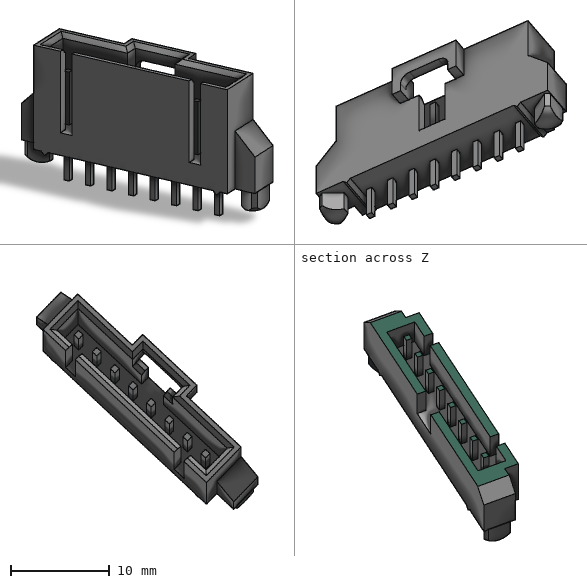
import cadquery as cq
import math


housing_length = 22.9
housing_depth = 5.09
housing_height = 11.45
floor_height = 2.5
rim = 0.5
lead_in = 0.5
lead_in_angle = 45.0
wall = rim + lead_in

key_length = 7.6
key_reach = 1.52
key_bottom = 7.65
back_notch_length = 3.07
window_top = 9.78
window_corner_radius = 1.1

slot_width = 1.35
slot_spacing = 15.23

overall_length = 27.65
ear_depth = 3.57
ear_shoulder = 4.0
ear_length = (overall_length - housing_length) / 2

ridge_drop = 0.41
ridge_spacing = 20.35

pin_count = 8
pin_pitch = 2.55
pin_width = 0.64
pin_drop = 3.68
pin_top = 8.3

peg_inset = 0.05
peg_length = 2.4
peg_drop = 2.65
peg_face_width = 2.4
peg_width = 3.05
peg_flank_inset = 0.5
peg_flank_angle = 31.0
peg_corner_radius = 1.75
peg_dome_radius = 2.2
peg_dome_inset = 1.3


def block(x_size, y_min, y_max, z_min, z_max, x_middle=0.0):
    """Box centred on x_middle and spanning the given Y and Z ranges."""
    size = (x_size, y_max - y_min, z_max - z_min)
    solid = cq.Workplane("XY").box(*size, centered=(True, False, False))
    return solid.translate((x_middle, y_min, z_min))


def opening(x_size, y_min, y_max, z_min):
    """Pocket up to the top of the housing that widens by the lead-in at its mouth."""
    pocket = block(x_size, y_min, y_max, z_min, housing_height)
    flare = (
        cq.Workplane("XY", origin=(0, (y_min + y_max) / 2, housing_height))
        .rect(x_size + 2 * lead_in, y_max - y_min + 2 * lead_in)
        .extrude(-lead_in, taper=lead_in_angle)
    )
    return pocket.union(flare)


def make_housing():
    key_back = housing_depth + key_reach
    inner_back = housing_depth - wall
    body = block(housing_length, 0, housing_depth, 0, housing_height)
    body = body.union(block(key_length, inner_back, key_back, key_bottom, housing_height))
    body = body.cut(opening(housing_length - 2 * wall, wall, inner_back, floor_height))
    key_inner_length = key_length - 2 * wall
    body = body.cut(opening(key_inner_length, inner_back - wall, key_back - wall, key_bottom))

    ledge_lead_in = (
        cq.Workplane("YZ", origin=(-key_inner_length / 2, inner_back, key_bottom))
        .polyline([(0, -lead_in), (lead_in, 0), (0, 0)])
        .close()
        .extrude(key_inner_length)
    )
    notch = block(back_notch_length, inner_back, housing_depth, floor_height, key_bottom)
    body = body.cut(ledge_lead_in).cut(notch)

    window = block(key_inner_length, key_back - wall, key_back, key_bottom, window_top)
    body = body.cut(window.faces(">Z").edges("|Y").fillet(window_corner_radius))

    for side in (-1, 1):
        body = body.cut(block(slot_width, 0, wall, floor_height, housing_height, side * slot_spacing / 2))
    return body


def make_ear():
    """Ear on the +X end, with a 45 degree top."""
    inner_x = housing_length / 2
    outer_x = overall_length / 2
    return (
        cq.Workplane("XZ", origin=(0, housing_depth, 0))
        .moveTo(inner_x, 0)
        .lineTo(outer_x, 0)
        .lineTo(outer_x, ear_shoulder)
        .lineTo(inner_x, ear_shoulder + ear_length)
        .close()
        .extrude(ear_depth)
    )


def make_peg():
    """Peg under the +X ear: rounded outer corners, converging flanks and a domed tip."""
    outer_x = overall_length / 2 - peg_inset
    flank_x = outer_x - peg_flank_inset
    inner_x = outer_x - peg_length
    face_y = peg_face_width / 2
    flank_y = peg_width / 2
    inner_y = flank_y - (flank_x - inner_x) * math.tan(math.radians(peg_flank_angle))
    middle_y = housing_depth - ear_depth / 2
    prism = (
        cq.Workplane("XY", origin=(0, middle_y, 0))
        .moveTo(inner_x, -inner_y)
        .lineTo(flank_x, -flank_y)
        .radiusArc((outer_x, -face_y), -peg_corner_radius)
        .lineTo(outer_x, face_y)
        .radiusArc((flank_x, flank_y), -peg_corner_radius)
        .lineTo(inner_x, inner_y)
        .close()
        .extrude(-peg_drop)
    )
    dome_centre = (outer_x - peg_dome_inset, middle_y, peg_dome_radius - peg_drop)
    dome = cq.Workplane("XY").sphere(peg_dome_radius).translate(dome_centre)
    return prism.intersect(dome)


def make_ridge(x):
    return (
        cq.Workplane("XZ", origin=(x, housing_depth, 0))
        .polyline([(-ridge_drop, 0), (0, -ridge_drop), (ridge_drop, 0)])
        .close()
        .extrude(housing_depth)
    )


def make_pin(x):
    front = (housing_depth - pin_width) / 2
    return block(pin_width, front, front + pin_width, -pin_drop, pin_top, x)


end_parts = make_ear().union(make_peg())
result = make_housing().union(end_parts).union(end_parts.mirror("YZ"))
for side in (-1, 1):
    result = result.union(make_ridge(side * ridge_spacing / 2))
for index in range(pin_count):
    result = result.union(make_pin((index - (pin_count - 1) / 2) * pin_pitch))